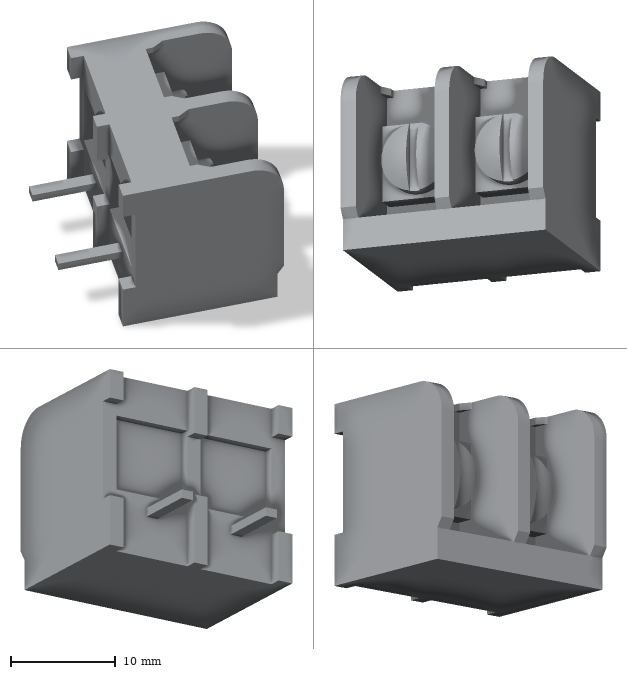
import cadquery as cq
import math


width = 20.6
height = 17.79
total_depth = 20.95
back = 15.9
base_back = 15.25
base_height = 3.08
wall_flare_top = 4.05
wall_radius = 3.2
front = 1.25

pole_count = 2
pole_pitch = 9.5
end_wall = 1.55
pole_width = width - 2 * end_wall - (pole_count - 1) * pole_pitch
divider = pole_pitch - pole_width
pole_centers = [(i - (pole_count - 1) / 2) * pole_pitch for i in range(pole_count)]

cavity_front = 7.2
cavity_narrow_end = 7.95
cavity_wide_start = 9.05
lip_thickness = 0.7

end_foot_lower_top = 5.0
end_foot_upper_bottom = 14.9
middle_foot_lower_top = 6.91
middle_foot_upper_bottom = 13.14

pocket_bottom = 6.26
pocket_top = 13.75
pocket_depth = 1.0

screw_height = (pocket_bottom + pocket_top) / 2
plate_width = 7.55
plate_height = pocket_top - pocket_bottom
plate_back = 9.15
head_radius = 3.35
head_rim = 10.6
head_top = 11.48
slot_width = 1.03
slot_bottom = 10.33

pin_width = 1.24
pin_top = 5.0
pin_thickness = 0.85
pin_tip = back - total_depth


def block(x_center, x_size, y_min, y_max, z_min, z_max):
    """Box centred on x_center and spanning the given Y and Z ranges."""
    box = cq.Workplane("XY").box(x_size, y_max - y_min, z_max - z_min, centered=(True, False, False))
    return box.translate((x_center, y_min, z_min))


def housing():
    """Side outline with the rounded, flared back edge, extruded over the full width."""
    arc_offset = wall_radius * (1 - math.sqrt(0.5))
    return (
        cq.Workplane("YZ")
        .moveTo(front, 0)
        .lineTo(base_back, 0)
        .lineTo(base_back, base_height)
        .lineTo(back, wall_flare_top)
        .lineTo(back, height - wall_radius)
        .threePointArc((back - arc_offset, height - arc_offset), (back - wall_radius, height))
        .lineTo(front, height)
        .close()
        .extrude(width / 2, both=True)
    )


def cavity(x):
    """Recess for one screw, open at the top and back, with lips over its front corners."""
    lip_bottom = height - lip_thickness
    chamber = block(x, pole_width, cavity_front, back, base_height, lip_bottom)
    wide = pole_width / 2
    narrow = head_radius
    opening = (
        cq.Workplane("XY", origin=(x, 0, lip_bottom))
        .polyline([
            (-narrow, cavity_front),
            (narrow, cavity_front),
            (narrow, cavity_narrow_end),
            (wide, cavity_wide_start),
            (wide, back),
            (-wide, back),
            (-wide, cavity_wide_start),
            (-narrow, cavity_narrow_end),
        ])
        .close()
        .extrude(lip_thickness)
    )
    return chamber.union(opening)


def feet(x, x_size, lower_top, upper_bottom):
    """Lower and upper foot under one barrier wall."""
    lower = block(x, x_size, 0, front, 0, lower_top)
    return lower.add(block(x, x_size, 0, front, upper_bottom, height)).combine()


def clamp_plate(x):
    """Plate clamped under one screw head, seated against the cavity front."""
    z_min = screw_height - plate_height / 2
    return block(x, plate_width, cavity_front, plate_back, z_min, z_min + plate_height)


def screw_head(x):
    """Domed head turned about the screw axis, with a vertical driver slot."""
    rise = head_top - head_rim
    dome_radius = (head_radius**2 + rise**2) / (2 * rise)
    mid_radius = head_radius / 2
    mid_dome = head_top - dome_radius + math.sqrt(dome_radius**2 - mid_radius**2)
    head = (
        cq.Workplane("YZ")
        .moveTo(plate_back, 0)
        .lineTo(plate_back, head_radius)
        .lineTo(head_rim, head_radius)
        .threePointArc((mid_dome, mid_radius), (head_top, 0))
        .close()
        .revolve(360, (0, 0), (1, 0))
    )
    slot = block(0, slot_width, slot_bottom, head_top, -head_radius, head_radius)
    return head.cut(slot).translate((x, 0, screw_height))


result = housing()

for side in (-1, 1):
    end_wall_center = side * (width - end_wall) / 2
    result = result.union(feet(end_wall_center, end_wall, end_foot_lower_top, end_foot_upper_bottom))
for left, right in zip(pole_centers, pole_centers[1:]):
    divider_center = (left + right) / 2
    result = result.union(
        feet(divider_center, divider, middle_foot_lower_top, middle_foot_upper_bottom)
    )

for pole in pole_centers:
    result = result.cut(cavity(pole))
    result = result.cut(block(pole, pole_width, front, front + pocket_depth, pocket_bottom, pocket_top))
    result = result.union(clamp_plate(pole))
    result = result.union(screw_head(pole))
    result = result.union(block(pole, pin_width, pin_tip, front, pin_top - pin_thickness, pin_top))